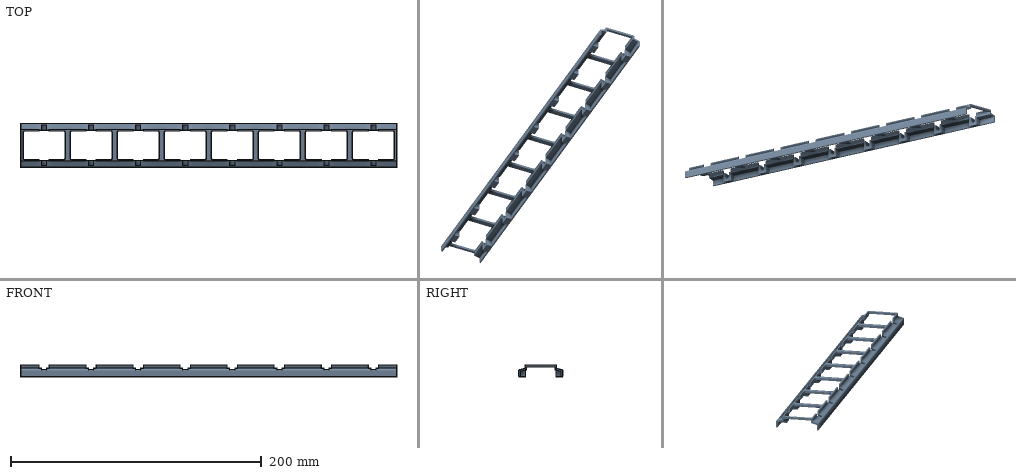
import cadquery as cq
import math

LENGTH = 300.0
WIDTH = 35.0
HEIGHT = 9.5

SHOULDER_ANGLE = 15.0
SHOULDER_THICKNESS = 1.5
LIP_OUTER_Y = 12.5
LIP_INNER_Y = 11.5
LEG_THICKNESS = 1.5
LIP_FOOT_Z = 7.0
LIP_ROUND = 0.85
SHOULDER_ROUND = 0.95
LEG_TIP_ROUND = 0.5

BAY_COUNT = 8
BAR_WIDTH = 4.2
BAR_THICKNESS = 1.8
BAR_CORNER_ROUND = 1.2

CLIP_WIDTH = 8.0
CLIP_INNER_Y = 12.0
SLOT_RADIUS = 2.0
SLOT_FLOOR_Z = 2.0

BAY_PITCH = LENGTH / BAY_COUNT
LEG_OUTER_Y = WIDTH / 2
LEG_INNER_Y = LEG_OUTER_Y - LEG_THICKNESS
SHOULDER_FALL = math.tan(math.radians(SHOULDER_ANGLE))
SHOULDER_DROP = SHOULDER_THICKNESS / math.cos(math.radians(SHOULDER_ANGLE))
BAY_CENTRES = [-LENGTH / 2 + (i + 0.5) * BAY_PITCH for i in range(BAY_COUNT)]


def shoulder_top(y):
    """Height of the shoulder's upper face at distance y from the centre plane."""
    return LIP_FOOT_Z - (y - LIP_OUTER_Y) * SHOULDER_FALL


def shoulder_underside(y):
    """Height of the shoulder's lower face at distance y from the centre plane."""
    return shoulder_top(y) - SHOULDER_DROP


def box(x_range, y_range, z_range):
    """Block between the given limits along X, Y and Z."""
    (x0, x1), (y0, y1), (z0, z1) = x_range, y_range, z_range
    return cq.Workplane("XY").box(x1 - x0, y1 - y0, z1 - z0, centered=False).translate((x0, y0, z0))


def extrude_section(points, x_start, x_length):
    """Extrude a (y, z) outline along +X."""
    return cq.Workplane("YZ", origin=(x_start, 0, 0)).polyline(points).close().extrude(x_length)


def round_edge(body, y, z, radius):
    """Round the lengthwise edge passing through (y, z)."""
    return body.edges(cq.selectors.NearestToPointSelector((0, y, z))).fillet(radius)


def plain_rail():
    """Full-length rail on the +Y side, without clips."""
    outline = [
        (LIP_INNER_Y, HEIGHT),
        (LIP_OUTER_Y, HEIGHT),
        (LIP_OUTER_Y, LIP_FOOT_Z),
        (LEG_OUTER_Y, shoulder_top(LEG_OUTER_Y)),
        (LEG_OUTER_Y, 0),
        (LEG_INNER_Y, 0),
        (LEG_INNER_Y, shoulder_underside(LEG_INNER_Y)),
        (LIP_INNER_Y, shoulder_underside(LIP_INNER_Y)),
    ]
    rail = extrude_section(outline, -LENGTH / 2, LENGTH)
    rail = round_edge(rail, LIP_OUTER_Y, HEIGHT, LIP_ROUND)
    rail = round_edge(rail, LEG_OUTER_Y, shoulder_top(LEG_OUTER_Y), SHOULDER_ROUND)
    rail = round_edge(rail, LEG_OUTER_Y, 0, LEG_TIP_ROUND)
    return round_edge(rail, LEG_INNER_Y, 0, LEG_TIP_ROUND)


def clip_block(x):
    """Block that fills the corner between the shoulder and the leg."""
    leg_middle_y = LEG_OUTER_Y - LEG_THICKNESS / 2
    outline = [
        (CLIP_INNER_Y, 0),
        (leg_middle_y, 0),
        (leg_middle_y, shoulder_underside(leg_middle_y)),
        (CLIP_INNER_Y, shoulder_underside(CLIP_INNER_Y)),
    ]
    return extrude_section(outline, x - CLIP_WIDTH / 2, CLIP_WIDTH)


def lip_gap(x):
    """Clearance over a clip block that removes the lip but keeps the shoulder's slope."""
    outline = [
        (0, 0),
        (CLIP_INNER_Y, 0),
        (CLIP_INNER_Y, shoulder_top(CLIP_INNER_Y)),
        (LIP_OUTER_Y, LIP_FOOT_Z),
        (LIP_OUTER_Y, HEIGHT),
        (0, HEIGHT),
    ]
    return extrude_section(outline, x - CLIP_WIDTH / 2, CLIP_WIDTH)


def clip_slot(x):
    """Round-bottomed slot, open to the top and to the inside."""
    axis_z = SLOT_FLOOR_Z + SLOT_RADIUS
    upper = box((x - SLOT_RADIUS, x + SLOT_RADIUS), (0, LEG_INNER_Y), (axis_z, HEIGHT))
    lower = (
        cq.Workplane("XZ", origin=(x, LEG_INNER_Y, axis_z))
        .circle(SLOT_RADIUS)
        .extrude(LEG_INNER_Y)
    )
    return upper.union(lower)


def rail_with_clips():
    """Rail with a slotted clip in the middle of every bay."""
    rail = plain_rail()
    for x in BAY_CENTRES:
        rail = rail.union(clip_block(x)).cut(lip_gap(x)).cut(clip_slot(x))
    return rail


def cross_bars():
    """Ladder-shaped top plate: a strip with one round-cornered window per bay."""
    bar_z = (HEIGHT - BAR_THICKNESS, HEIGHT)
    plate = box((-LENGTH / 2, LENGTH / 2), (-LIP_INNER_Y, LIP_INNER_Y), bar_z)
    window = BAY_PITCH - BAR_WIDTH
    for x in BAY_CENTRES:
        opening = box((x - window / 2, x + window / 2), (-LIP_INNER_Y, LIP_INNER_Y), bar_z)
        plate = plate.cut(opening.edges("|Z").fillet(BAR_CORNER_ROUND))
    return plate


rail = rail_with_clips()
result = rail.union(rail.mirror("XZ")).union(cross_bars())